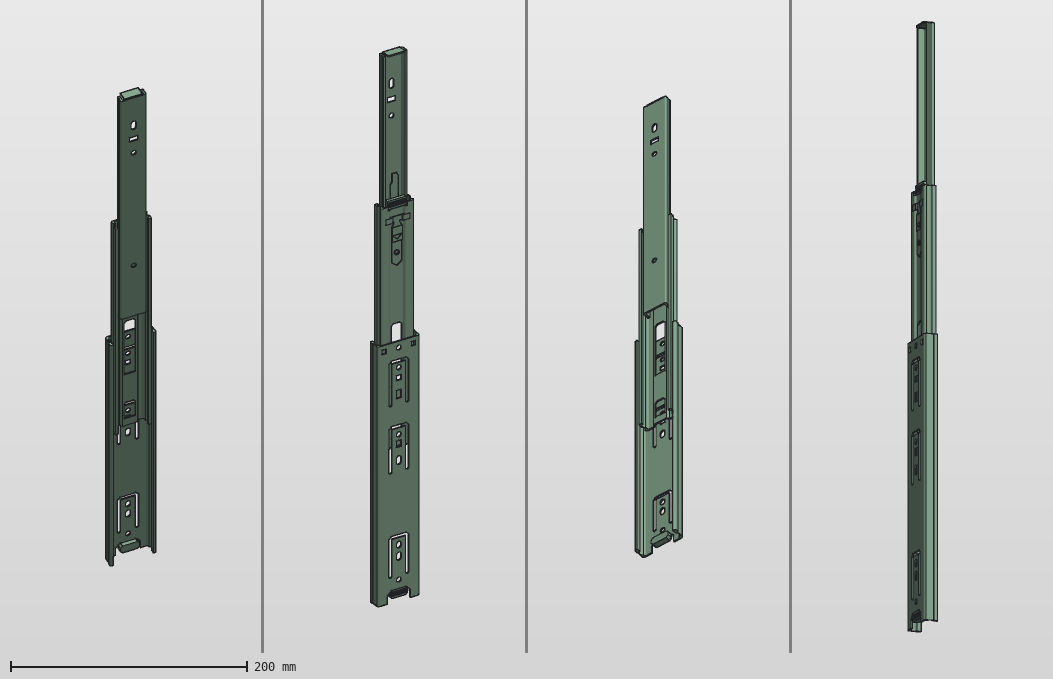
import cadquery as cq

TOTAL_LENGTH = 525
SHEET = 1.25
INSIDE_BEND = 0.5
MARGIN = 5

OUTER_HALF = 21.5
OUTER_DEPTH = 12.0
OUTER_TOP = 250.0
OUTER_CORNER = 3.0
OUTER_WALL = 2.9
LIP_X = 8.0
LIP_FLARE = 0.5
LIP_ROUND = 1.5

MIDDLE_HALF = 17.0
MIDDLE_BACK = 1.5
MIDDLE_FRONT = 12.0
MIDDLE_BOTTOM = 147.5
MIDDLE_TOP = 380.5
MIDDLE_CORNER = 2.5
MIDDLE_WALL = 2.9
RIB_HALF = 8.0
RIB_FLOOR_HALF = 6.5
RIB_DEPTH = 2.0
RIB_BEND = 1.85
RIB_FLAT_HALF = 5

INNER_WIDTH = 23.5
INNER_HALF = INNER_WIDTH / 2
INNER_WALL = 2.0
INNER_BACK = 6.0
INNER_BOTTOM = 276.5
INNER_CORNER = 0.8
INNER_WEB_X = 11.5
INNER_FRONT = INNER_WEB_X + SHEET
TAB_HALF = 8.5
TAB_BACK = 3.5

OUTER_TRACK = (6.0, 18.0, 2.5)
INNER_TRACK = (8.5, 13.5, 2.0)

HOLE = 4.5
TOP_HOLE_Z = 243.5
BOTTOM_HOLE_Z = 20.5
TONGUE_SLOT_HALF = 10.0
TONGUE_HALF = 7.0
TONGUE_GAP = 3.0
TONGUE_CORNER = 2.5
SLOT_END_BEVEL = 1.0
TONGUES = [(189, 232.5), (124.5, 169.5), (24.0, 64.0)]
TONGUE_ROUND_HOLES = [224.5, 160.0]
TONGUE_SQUARE_HOLES = [(214.5, 4.5), (199.0, 8.0), (151.0, 6.5)]
TONGUE_LONG_HOLES = [(135.5, 8.5), (54.0, 6.5), (43.0, 8.0)]
LANCE_Y = 14.5
LANCE_Z = 243.5
LANCE_SIZE = 4.0
END_NOTCH_HALF = 11.5
END_NOTCH_TOP = 12.0
END_NOTCH_CORNER = 4.0

RIB_WINDOWS = [(205.5, 265.5), (155.5, 174.0)]
RIB_WINDOW_CORNER = 2.0
CATCH_HOLE_Z = 334.0

INNER_LONG_HOLE_Z = 492.5
INNER_LONG_HOLE = 9.5
INNER_CROSS_HOLE_Z = 477.0
INNER_CROSS_HOLE = 8.0
INNER_ROUND_HOLES = [461.5, CATCH_HOLE_Z]

CATCH_TIP = 321.5
CATCH_SHOULDER = 325.0
CATCH_TOP = 369.0
CATCH_THICKNESS = 0.8
CATCH_WING_HALF = 12.0
CATCH_WING_BOTTOM = 364.0
CATCH_HALF = 5.0
CATCH_RAISE = 0.5
STEM_HALF = 3.0
STEM_FLARE = 3.0
PAD_BOTTOM = 351.0
PAD_TOP = 359.0
ARROW_NOTCH = 347.0
ARROW_BOTTOM = 345.0

STOP_BOTTOM = 377.0
STOP_TOP = 385.5
STOP_HALF = 9.5
STOP_BACK = 3.0
STOP_FRONT = 6.5

LEVER_THICKNESS = 1.0
LEVER_BOTTOM = STOP_BOTTOM
LEVER_TOP = 406.0
LEVER_LEFT = 1.5
LEVER_RIGHT = -6.5
LEVER_TIP_LEFT = 0
LEVER_TIP_RIGHT = -4.5
LEVER_SHOULDER = 396.0
LEVER_TIP_BEND = 398.0
LEVER_TIP_BEVEL = 402.0

BUMPER_HALF = 9.0
BUMPER_BOTTOM = 4.0
BUMPER_DEPTH = 5
BUMPER_CORNER = 2.0
GRIP_GROOVES = 2
GRIP_DEPTH = 0.5


def block(x0, x1, y0, y1, z0, z1):
    """Box between two values on each axis."""
    return cq.Workplane("XY").box(x1 - x0, y1 - y0, z1 - z0, centered=False).translate((x0, y0, z0))


def plate(points, x0, x1):
    """Flat plate with an outline of (Y, Z) points, filling X from x0 to x1."""
    return cq.Workplane("YZ").workplane(offset=x0).polyline(points).close().extrude(x1 - x0)


def web_hole(z, width=HOLE, height=HOLE):
    """Cutter for a rectangular hole on the centre line, long enough for every web."""
    return block(-MARGIN, INNER_FRONT + MARGIN, -width / 2, width / 2, z - height / 2, z + height / 2)


def round_web_hole(z):
    return cq.Workplane("YZ").center(0, z).circle(HOLE / 2).extrude(INNER_FRONT + MARGIN, both=True)


def long_web_hole(z, length):
    return cq.Workplane("YZ").center(0, z).slot2D(length, HOLE, 90).extrude(INNER_FRONT + MARGIN, both=True)


def ball_tracks(track):
    """Round rods along both sides, cut from the flanges next to them."""
    x, y, radius = track
    return cq.Workplane("XY").pushPoints([(x, y), (x, -y)]).circle(radius).extrude(TOTAL_LENGTH)


def channel(back, front, half, wall, corner, z0, z1, open_side):
    """U-shaped rail with rounded corners at its web; open_side is '>X' or '<X'."""
    web_side = "<X" if open_side == ">X" else ">X"
    body = block(back, front, -half, half, z0, z1)
    body = body.faces(web_side).edges("|Z").fillet(corner)
    inside_back = back + SHEET if open_side == ">X" else back - MARGIN
    inside_front = front + MARGIN if open_side == ">X" else front - SHEET
    inside = block(inside_back, inside_front, wall - half, half - wall, z0, z1)
    inside = inside.faces(web_side).edges("|Z").fillet(max(corner - SHEET, INSIDE_BEND))
    return body.cut(inside)


def tongue_cutout(bottom, top):
    """Upside-down U around a mounting tongue, with bevelled top corners."""
    half = TONGUE_SLOT_HALF
    cutter = block(-MARGIN, SHEET + MARGIN, -half, half, bottom, top)
    cutter = cutter.faces(">Z").edges("|X").chamfer(TONGUE_CORNER)
    tongue = block(-MARGIN, SHEET + MARGIN, -TONGUE_HALF, TONGUE_HALF, bottom, top - TONGUE_GAP)
    slots = cutter.cut(tongue)
    return slots.faces("<Z").edges("|X").chamfer(SLOT_END_BEVEL)


def make_outer_rail():
    rail = channel(0, OUTER_DEPTH, OUTER_HALF, OUTER_WALL, OUTER_CORNER, 0, OUTER_TOP, ">X")
    for side in (">Y", "<Y"):
        rail = rail.faces(">X").edges(side).fillet(LIP_ROUND)
    rail = rail.cut(ball_tracks(OUTER_TRACK))
    inset = [(-MARGIN, OUTER_HALF), (LIP_X + LIP_FLARE, OUTER_HALF), (LIP_X, OUTER_HALF - LIP_FLARE),
             (-MARGIN, OUTER_HALF - LIP_FLARE)]
    flange_inset = cq.Workplane("XY").polyline(inset).close().extrude(OUTER_TOP)
    rail = rail.cut(flange_inset).cut(flange_inset.mirror("XZ"))
    for bottom, top in TONGUES:
        rail = rail.cut(tongue_cutout(bottom, top))
    for z in [TOP_HOLE_Z, BOTTOM_HOLE_Z] + TONGUE_ROUND_HOLES:
        rail = rail.cut(round_web_hole(z))
    for z, height in TONGUE_SQUARE_HOLES:
        rail = rail.cut(web_hole(z, height=height))
    for z, length in TONGUE_LONG_HOLES:
        rail = rail.cut(long_web_hole(z, length))
    for y in (-LANCE_Y, LANCE_Y):
        rail = rail.cut(web_hole(LANCE_Z, LANCE_SIZE, LANCE_SIZE).translate((0, y, 0)))
    notch = block(-MARGIN, OUTER_DEPTH, -END_NOTCH_HALF, END_NOTCH_HALF, -MARGIN, END_NOTCH_TOP)
    notch = notch.faces(">Z").edges("|X").chamfer(END_NOTCH_CORNER)
    return rail.cut(notch)


def rib_section(shift, clearance):
    """Trapezoid of the pressed-in rib, moved along X and widened on each side."""
    half = RIB_HALF + clearance
    floor = RIB_FLOOR_HALF + clearance
    back = MIDDLE_BACK + shift
    points = [(back, -half), (back, half), (back + RIB_DEPTH, floor), (back + RIB_DEPTH, -floor)]
    length = MIDDLE_TOP - MIDDLE_BOTTOM
    return cq.Workplane("XY").workplane(offset=MIDDLE_BOTTOM).polyline(points).close().extrude(length)


def make_middle_rail():
    rail = channel(MIDDLE_BACK, MIDDLE_FRONT, MIDDLE_HALF, MIDDLE_WALL, MIDDLE_CORNER,
                   MIDDLE_BOTTOM, MIDDLE_TOP, ">X")
    rail = rail.cut(ball_tracks(OUTER_TRACK)).cut(ball_tracks(INNER_TRACK))
    rail = rail.union(rib_section(SHEET, SHEET / 2)).cut(rib_section(0, 0))
    for x, y in ((MIDDLE_BACK, RIB_HALF), (MIDDLE_BACK + RIB_DEPTH, RIB_FLOOR_HALF)):
        for side in (-y, y):
            bend = cq.NearestToPointSelector((x, side, (MIDDLE_BOTTOM + MIDDLE_TOP) / 2))
            rail = rail.edges(bend).fillet(RIB_BEND)
    for bottom, top in RIB_WINDOWS:
        window = block(0, INNER_FRONT, -RIB_FLAT_HALF, RIB_FLAT_HALF, bottom, top)
        window = window.faces(">Z").edges("|X").chamfer(RIB_WINDOW_CORNER)
        rail = rail.cut(window)
    wing_window = block(0, MIDDLE_BACK + RIB_DEPTH, -CATCH_WING_HALF, CATCH_WING_HALF,
                        CATCH_WING_BOTTOM, CATCH_TOP)
    stop_recess = block(0, INNER_FRONT, -STOP_HALF, STOP_HALF, STOP_BOTTOM, MIDDLE_TOP)
    rail = rail.cut(wing_window).cut(stop_recess)
    return rail.cut(round_web_hole(CATCH_HOLE_Z))


def make_inner_rail():
    top = TOTAL_LENGTH - SHEET
    rail = channel(INNER_BACK, INNER_FRONT, INNER_HALF, INNER_WALL, INNER_CORNER, INNER_BOTTOM, top, "<X")
    rail = rail.cut(ball_tracks(INNER_TRACK))
    tab = block(TAB_BACK, INNER_WEB_X + SHEET / 2, -TAB_HALF, TAB_HALF, top, TOTAL_LENGTH)
    rail = rail.union(tab)
    rail = rail.cut(long_web_hole(INNER_LONG_HOLE_Z, INNER_LONG_HOLE))
    rail = rail.cut(web_hole(INNER_CROSS_HOLE_Z, width=INNER_CROSS_HOLE))
    for z in INNER_ROUND_HOLES:
        rail = rail.cut(round_web_hole(z))
    return rail


def make_catch():
    """Pointed plate on the floor of the rib, with a stem, a raised pad and wings set into the web."""
    floor_x = MIDDLE_BACK + RIB_DEPTH
    face_x = floor_x - CATCH_THICKNESS
    raised_x = face_x - CATCH_RAISE
    half = CATCH_HALF
    outline = [(0, CATCH_TIP), (half, CATCH_SHOULDER), (half, PAD_TOP), (STEM_HALF, PAD_TOP + STEM_FLARE),
               (STEM_HALF, CATCH_TOP), (-STEM_HALF, CATCH_TOP), (-STEM_HALF, PAD_TOP + STEM_FLARE),
               (-half, PAD_TOP), (-half, CATCH_SHOULDER)]
    catch = plate(outline, face_x, floor_x)
    catch = catch.union(block(raised_x, face_x, -half, half, PAD_BOTTOM, PAD_TOP))
    arrow = [(-half, PAD_BOTTOM), (0, ARROW_NOTCH), (half, PAD_BOTTOM), (half, ARROW_BOTTOM),
             (-half, ARROW_BOTTOM)]
    catch = catch.union(plate(arrow, raised_x, face_x))
    wings = block(MIDDLE_BACK, floor_x, -CATCH_WING_HALF, CATCH_WING_HALF, CATCH_WING_BOTTOM, CATCH_TOP)
    wings = wings.cut(block(0, face_x, -half, half, 0, TOTAL_LENGTH))
    return catch.union(wings).cut(round_web_hole(CATCH_HOLE_Z))


def grip_grooves(half, bottom, top):
    """Cutter for shallow grooves across the X = 0 side of a block, evenly spaced in height."""
    pitch = (top - bottom) / (GRIP_GROOVES + 1)
    centres = [bottom + pitch * (i + 1) for i in range(GRIP_GROOVES)]
    width = pitch / 2
    cutter = cq.Workplane("XY")
    for z in centres:
        cutter = cutter.add(block(0, GRIP_DEPTH, -half, half, z - width / 2, z + width / 2))
    return cutter.combine()


def make_stop():
    """Latch block standing in the recess at the top of the middle web."""
    body = block(STOP_BACK, STOP_FRONT, -STOP_HALF, STOP_HALF, STOP_BOTTOM, STOP_TOP)
    return body.cut(grip_grooves(STOP_HALF, STOP_BOTTOM, STOP_TOP).translate((STOP_BACK, 0, 0)))


def make_lever():
    """Flat finger lying on the web of the inner rail and reaching up past the stop."""
    outline = [(LEVER_LEFT, LEVER_BOTTOM), (LEVER_RIGHT, LEVER_BOTTOM), (LEVER_RIGHT, LEVER_TIP_BEVEL),
               (LEVER_TIP_RIGHT, LEVER_TOP), (LEVER_TIP_LEFT, LEVER_TOP), (LEVER_TIP_LEFT, LEVER_TIP_BEND),
               (LEVER_LEFT, LEVER_SHOULDER)]
    return plate(outline, INNER_WEB_X - LEVER_THICKNESS, INNER_WEB_X)


def make_bumper():
    """End stop filling the upper part of the notch at the bottom of the outer web."""
    body = block(0, BUMPER_DEPTH, -BUMPER_HALF, BUMPER_HALF, BUMPER_BOTTOM, END_NOTCH_TOP)
    body = body.edges("|X").chamfer(BUMPER_CORNER)
    return body.cut(grip_grooves(BUMPER_HALF, BUMPER_BOTTOM, END_NOTCH_TOP))


outer_rail = make_outer_rail()
middle_rail = make_middle_rail()
inner_rail = make_inner_rail()
catch = make_catch()
stop = make_stop()
lever = make_lever()
bumper = make_bumper()

bodies = [outer_rail, middle_rail, inner_rail, catch, stop, lever, bumper]
result = cq.Compound.makeCompound([body.val() for body in bodies])